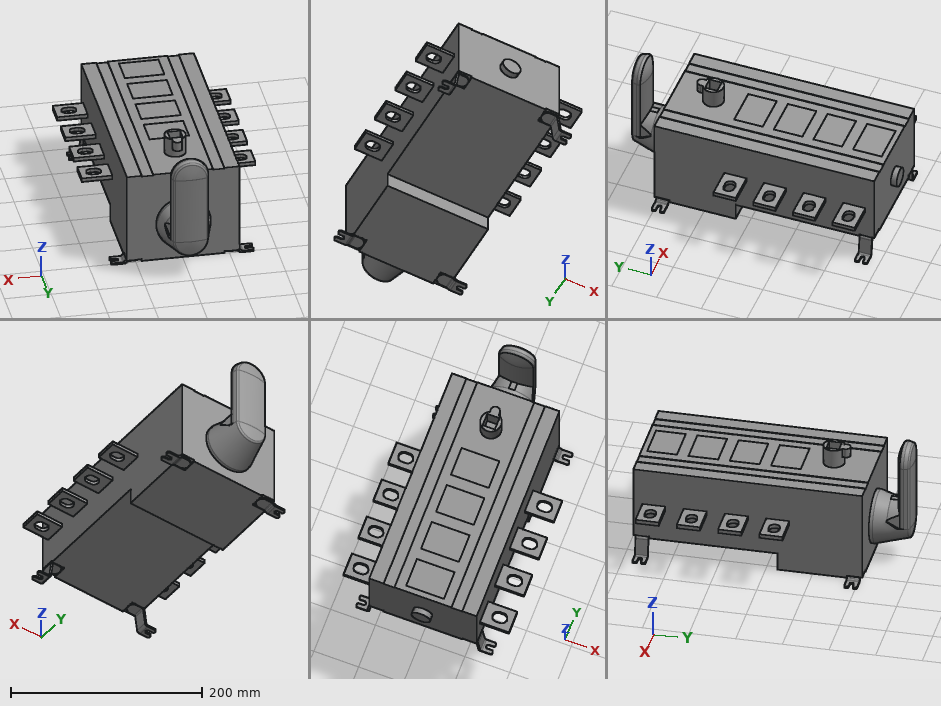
import cadquery as cq
import math


body_width = 120.0
body_length = 245.5
body_height = 102.5
step_y = 154.7
step_height = 19.8
groove_inner = 32.0
groove_outer = 44.0
groove_depth = 1.0

pole_count = 4
pole_pitch = 44.3
first_pole_y = 22.0
axis_z = 59.0
terminal_span = 185.0
terminal_width = 24.8
terminal_thickness = 4.5
terminal_hole_x = 77.5
terminal_hole_length = 16.0
terminal_hole_width = 11.5
window_width = 42.2
window_length = 32.0
window_depth = 0.3

boss_diameter = 21.0
boss_length = 6.5

socket_y = body_length - 43.7
socket_diameter = 22.5
socket_height = 20.7
socket_square = 13.5
socket_lug_radius = 5.0
socket_lug_offset = 12.7
socket_lug_height = 10.3

foot_width = 14.0
foot_thickness = 2.0
foot_bottom = -2.7
foot_tip_x = 76.2
foot_ramp_x = 63.5
foot_lean = 3.0
foot_inner_x = 44.3
foot_margin = 2.5
foot_slot_width = 4.5
foot_slot_end_x = 67.3
foot_tip_round = 1.8
foot_inner_round = 6.8
foot_bend_inside = 1.5
foot_bend_outside = foot_bend_inside + foot_thickness
foot_recess_clearance = 0.5

knob_z = 42.5
knob_base_radius = 29.0
knob_base_depth = 3.5
knob_taper = math.tan(math.radians(16))
knob_depth = 43.0
knob_rim_depth = 41.0
knob_rim_radius = 16.8
knob_side_depth = 39.3
neck_depth = 17.7
shelf_height = 8.5
shelf_end_depth = 29.5
neck_half_width = 22.7
rib_width = 6.5
grip_side_depth = 34.8
grip_round_depth = 31.0
grip_round_x = 19.0
grip_front_depth = 26.0
grip_top_z = 116.3


def box(x0, x1, y0, y1, z0, z1):
    return cq.Workplane("XY").box(x1 - x0, y1 - y0, z1 - z0, centered=False).translate((x0, y0, z0))


def cone_radius(depth):
    return knob_base_radius - knob_taper * (depth - knob_base_depth)


def crown_drop(half_width, sag):
    """Drop from the crest of a crowned arc at half of its half width."""
    radius = (half_width ** 2 + sag ** 2) / (2 * sag)
    return radius - math.sqrt(radius ** 2 - half_width ** 2 / 4)


def make_housing():
    half = body_width / 2
    housing = box(-half, half, 0, body_length, 0, body_height)
    housing = housing.cut(box(-half, half, 0, step_y, 0, step_height))
    top = body_height
    for x0, x1 in ((groove_inner, groove_outer), (-groove_outer, -groove_inner)):
        housing = housing.cut(box(x0, x1, 0, body_length, top - groove_depth, top))
    boss = cq.Workplane("XZ").center(0, axis_z).circle(boss_diameter / 2).extrude(boss_length)
    return housing.union(boss)


def make_terminal_bar(y):
    bar = cq.Workplane("XY").box(terminal_span, terminal_width, terminal_thickness)
    holes = (
        cq.Workplane("XY")
        .pushPoints([(-terminal_hole_x, 0), (terminal_hole_x, 0)])
        .slot2D(terminal_hole_length, terminal_hole_width)
        .extrude(terminal_thickness, both=True)
    )
    return bar.cut(holes).translate((0, y, axis_z))


def make_window(y):
    return cq.Workplane("XY").box(window_width, window_length, 2 * window_depth).translate((0, y, body_height))


def make_socket():
    top = body_height + socket_height
    plane = cq.Workplane("XY", origin=(0, socket_y, body_height))
    post = plane.circle(socket_diameter / 2).extrude(socket_height)
    lug = box(-socket_lug_radius, socket_lug_radius, 0, socket_lug_offset, 0, socket_lug_height)
    lug = lug.union(
        cq.Workplane("XY").center(0, socket_lug_offset).circle(socket_lug_radius).extrude(socket_lug_height)
    )
    post = post.union(lug.translate((0, socket_y, top - socket_lug_height)))
    return post.cut(plane.rect(socket_square, socket_square).extrude(socket_height))


def make_foot(underside):
    """Right-hand foot centred on Y = 0, its upper flange let into the given underside."""
    t = foot_thickness
    sole_top = foot_bottom + t
    leg_top_x = foot_ramp_x - foot_lean
    foot = (
        cq.Workplane("XZ")
        .moveTo(foot_tip_x, foot_bottom)
        .lineTo(foot_tip_x, sole_top)
        .lineTo(foot_ramp_x, sole_top)
        .lineTo(leg_top_x, underside + t)
        .lineTo(foot_inner_x, underside + t)
        .lineTo(foot_inner_x, underside)
        .lineTo(leg_top_x - t, underside)
        .lineTo(foot_ramp_x - t, foot_bottom)
        .close()
        .extrude(foot_width / 2, both=True)
    )
    inside = [(foot_ramp_x, sole_top), (leg_top_x - t, underside)]
    outside = [(leg_top_x, underside + t), (foot_ramp_x - t, foot_bottom)]
    for corners, radius in ((inside, foot_bend_inside), (outside, foot_bend_outside)):
        for x, z in corners:
            bend = cq.selectors.NearestToPointSelector((x, 0, z))
            foot = foot.edges("|Y").edges(bend).fillet(radius)
    slot_radius = foot_slot_width / 2
    slot_center_x = foot_slot_end_x + slot_radius
    slot = box(slot_center_x, foot_tip_x, -slot_radius, slot_radius, foot_bottom, sole_top)
    slot = slot.union(
        cq.Workplane("XY", origin=(slot_center_x, 0, foot_bottom)).circle(slot_radius).extrude(t)
    )
    foot = foot.cut(slot)
    foot = foot.edges("|Z").edges(">X").fillet(foot_tip_round)
    return foot.edges("|Z and <X").fillet(foot_inner_round)


def knob_half_outline():
    """Start of a half outline in the XY plane: from the axis over the domed end and its rounded rim."""
    drop = crown_drop(knob_rim_radius, knob_depth - knob_rim_depth)
    dome_mid = (knob_rim_radius / 2, knob_depth - drop)
    return (
        cq.Workplane("XY")
        .moveTo(0, knob_depth)
        .threePointArc(dome_mid, (knob_rim_radius, knob_rim_depth))
        .tangentArcPoint((cone_radius(knob_side_depth), knob_side_depth), relative=False)
    )


def grip_half_outline():
    drop = crown_drop(grip_round_x, grip_round_depth - grip_front_depth)
    front_mid = (grip_round_x / 2, grip_front_depth + drop)
    return (
        knob_half_outline()
        .lineTo(cone_radius(grip_side_depth), grip_side_depth)
        .tangentArcPoint((grip_round_x, grip_round_depth), relative=False)
        .threePointArc(front_mid, (0, grip_front_depth))
        .close()
    )


def make_knob():
    """Cone on a cylindrical base ring, cut back to the neck plane and the sloping shelf above the axis."""
    knob = (
        knob_half_outline()
        .lineTo(knob_base_radius, knob_base_depth)
        .lineTo(knob_base_radius, 0)
        .lineTo(0, 0)
        .close()
        .revolve(360, (0, 0, 0), (0, 1, 0))
    )
    removed = [
        (neck_depth, knob_base_radius),
        (neck_depth, shelf_height),
        (shelf_end_depth, 0),
        (knob_depth, 0),
        (knob_depth, knob_base_radius),
    ]
    return knob.cut(cq.Workplane("YZ").polyline(removed).close().extrude(knob_base_radius, both=True))


def make_grip():
    """Upright bar whose top is its own half section turned about the bar end."""
    length = grip_top_z - knob_z
    half_bar = grip_half_outline().extrude(length)
    end = grip_half_outline().revolve(360, (0, 0, 0), (0, 1, 0)).translate((0, 0, length))
    return half_bar.union(half_bar.mirror("YZ")).union(end)


def make_neck():
    """Tapered block with a barrel-shaped top and a flat rib, joining the cone to the grip."""
    height = cone_radius(neck_depth)
    corners = [
        (-neck_half_width, neck_depth),
        (neck_half_width, neck_depth),
        (grip_round_x, grip_round_depth),
        (-grip_round_x, grip_round_depth),
    ]
    block = cq.Workplane("XY").polyline(corners).close().extrude(height)
    block = block.intersect(cq.Workplane("XZ").circle(height).extrude(-knob_depth))
    return block.union(box(-rib_width / 2, rib_width / 2, neck_depth, grip_round_depth, 0, height))


def make_handle():
    handle = make_knob().union(make_grip()).union(make_neck())
    return handle.translate((0, body_length, knob_z))


def make_foot_recess(underside, y0, y1):
    """Pocket for the upper flange of the right-hand foot."""
    return box(foot_inner_x, body_width / 2, y0, y1, underside, underside + foot_thickness)


result = make_housing().union(make_socket()).union(make_handle())

for pole in range(pole_count):
    pole_y = first_pole_y + pole * pole_pitch
    result = result.union(make_terminal_bar(pole_y)).cut(make_window(pole_y))

foot_center = foot_margin + foot_width / 2
recess_length = foot_margin + foot_width + foot_recess_clearance
feet = (
    (step_height, foot_center, 0, recess_length),
    (0, body_length - foot_center, body_length - recess_length, body_length),
)
for underside, foot_y, recess_start, recess_end in feet:
    recess = make_foot_recess(underside, recess_start, recess_end)
    foot = make_foot(underside).translate((0, foot_y, 0))
    result = result.cut(recess).cut(recess.mirror("YZ"))
    result = result.union(foot).union(foot.mirror("YZ"))